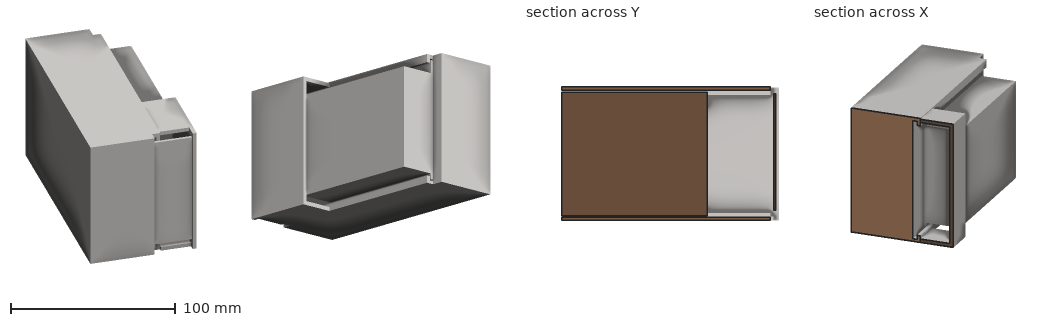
import cadquery as cq

HOUSING_LENGTH = 139.7
HOUSING_DEPTH = 40.7
HOUSING_HEIGHT = 81.3

RAIL_START = 7.5
RAIL_LENGTH = 127.0
RAIL_DEPTH = 5.0
RAIL_BACK = HOUSING_DEPTH + RAIL_DEPTH
HOOK_THICKNESS = 2.4
SLOT_BOTTOM = 2.0
SLOT_TOP = 78.8
HOOK_OVERLAP = 2.7

FLANGE_THICKNESS = 1.8
FLANGE_BOTTOM = 2.8
FLANGE_TOP = 78.1
BOX_BOTTOM = 6.4
BOX_TOP = 69.8
BOX_LENGTH = 88.8

COVER_START = 94.0
COVER_BACK = 67.3
COVER_THICKNESS = 2.5
COVER_HEIGHT = 80.7
COVER_INNER_BACK = COVER_BACK - COVER_THICKNESS
TOP_WALL_END = 132.0

PLATE_START = 136.2
PLATE_THICKNESS = 1.8
PLATE_BOTTOM = 6.0
PLATE_TOP = 77.1


def block(x_range, y_range, z_range):
    """Rectangular solid spanning the given (low, high) limits on each axis."""
    lows, highs = zip(x_range, y_range, z_range)
    sizes = [high - low for low, high in zip(lows, highs)]
    return cq.Workplane("XY").box(*sizes, centered=False).translate(lows)


def rail(outer_z, shelf_z, tip_z):
    """L-shaped rail given by the heights of its outer face, its slot face and its hook tip."""
    hook_front = RAIL_BACK - HOOK_THICKNESS
    return (
        cq.Workplane("YZ", origin=(RAIL_START, 0, 0))
        .moveTo(HOUSING_DEPTH, outer_z)
        .lineTo(RAIL_BACK, outer_z)
        .lineTo(RAIL_BACK, tip_z)
        .lineTo(hook_front, tip_z)
        .lineTo(hook_front, shelf_z)
        .lineTo(HOUSING_DEPTH, shelf_z)
        .close()
        .extrude(RAIL_LENGTH)
    )


def make_housing():
    """Block with one hooked rail along the top and one along the bottom of its back face."""
    body = block((0, HOUSING_LENGTH), (0, HOUSING_DEPTH), (0, HOUSING_HEIGHT))
    bottom_rail = rail(0, SLOT_BOTTOM, SLOT_BOTTOM + HOOK_OVERLAP)
    top_rail = rail(HOUSING_HEIGHT, SLOT_TOP, SLOT_TOP - HOOK_OVERLAP)
    return body.union(bottom_rail).union(top_rail)


def make_slide_box():
    """Box on a wider flange that lies against the housing, inside the hooked rails."""
    x_range = (RAIL_START, RAIL_START + BOX_LENGTH)
    flange_back = HOUSING_DEPTH + FLANGE_THICKNESS
    flange = block(x_range, (HOUSING_DEPTH, flange_back), (FLANGE_BOTTOM, FLANGE_TOP))
    body = block(x_range, (flange_back, COVER_INNER_BACK), (BOX_BOTTOM, BOX_TOP))
    return flange.union(body)


def make_cover():
    """Back wall with a top wall, a longer bottom wall and an upright plate near its end."""
    wall_y = (RAIL_BACK, COVER_INNER_BACK)
    plate_end = PLATE_START + PLATE_THICKNESS
    back_wall = block((COVER_START, HOUSING_LENGTH), (COVER_INNER_BACK, COVER_BACK), (0, COVER_HEIGHT))
    bottom_wall = block((COVER_START, PLATE_START), wall_y, (0, COVER_THICKNESS))
    top_wall = block((COVER_START, TOP_WALL_END), wall_y, (COVER_HEIGHT - COVER_THICKNESS, COVER_HEIGHT))
    plate = block((PLATE_START, plate_end), (HOUSING_DEPTH, COVER_INNER_BACK), (PLATE_BOTTOM, PLATE_TOP))
    return back_wall.union(bottom_wall).union(top_wall).union(plate)


housing = make_housing()
slide_box = make_slide_box()
cover = make_cover()

result = cq.Compound.makeCompound([housing.val(), slide_box.val(), cover.val()])